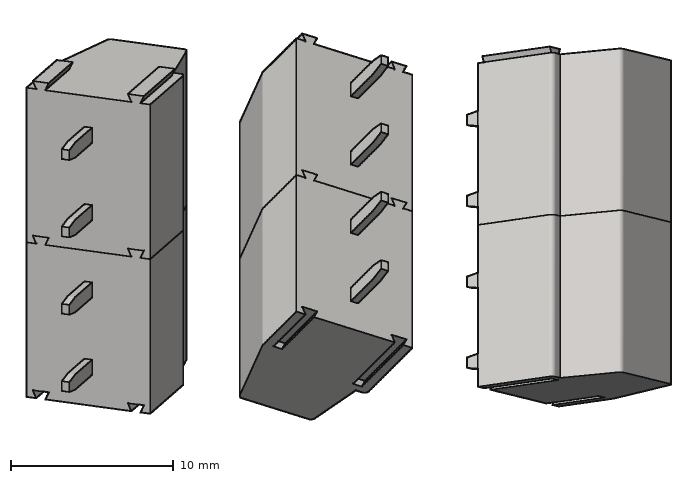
import cadquery as cq
import math


MODULE_COUNT = 2
PINS_PER_MODULE = 2
PIN_PITCH = 5.08
MODULE_HEIGHT = PINS_PER_MODULE * PIN_PITCH

HOUSING_WIDTH = 8.2
HOUSING_DEPTH = 10.0
SIDE_DEPTH = 4.27
STEP_DEPTH = 5.8
STEP_WIDTH = 0.75
SIDE_SLOPE = 15
STEP_SLOPE = 10
CORNER_RADIUS = 0.3

RAIL_HEIGHT = 0.5
RAIL_TOP_WIDTH = 1.06
RAIL_ROOT_WIDTH = 0.6
RAIL_INSET = 0.42
SIDE_RAIL_LENGTH = 4.04
STEP_RAIL_LENGTH = 5.25
RAIL_X = HOUSING_WIDTH / 2 - RAIL_INSET - RAIL_TOP_WIDTH / 2

PIN_LENGTH = 3.8
PIN_THICKNESS = 0.5
PIN_WIDTH = 1.0
TIP_WIDTH = 0.65
TAPER_LENGTH = 1.0


def make_block():
    """Plain housing block: the stepped, sloping profile extruded along Z."""
    half_width = HOUSING_WIDTH / 2
    back_left = -half_width + (HOUSING_DEPTH - SIDE_DEPTH) * math.tan(math.radians(SIDE_SLOPE))
    step_inner = half_width - STEP_WIDTH
    back_right = step_inner - (HOUSING_DEPTH - STEP_DEPTH) * math.tan(math.radians(STEP_SLOPE))
    block = (
        cq.Workplane("XY")
        .moveTo(-half_width, 0)
        .lineTo(half_width, 0)
        .lineTo(half_width, STEP_DEPTH)
        .lineTo(step_inner, STEP_DEPTH)
        .lineTo(back_right, HOUSING_DEPTH)
        .lineTo(back_left, HOUSING_DEPTH)
        .lineTo(-half_width, SIDE_DEPTH)
        .close()
        .extrude(MODULE_HEIGHT)
    )
    rounded_corners = [
        (back_left, HOUSING_DEPTH),
        (back_right, HOUSING_DEPTH),
        (half_width, STEP_DEPTH),
    ]
    for x, y in rounded_corners:
        corner_edge = cq.selectors.NearestToPointSelector((x, y, MODULE_HEIGHT / 2))
        block = block.edges("|Z").edges(corner_edge).fillet(CORNER_RADIUS)
    return block


def make_rail(x, length, base_z):
    """Dovetail bar running along +Y from the pin-side face, narrow at base_z."""
    half_root = RAIL_ROOT_WIDTH / 2
    half_top = RAIL_TOP_WIDTH / 2
    return (
        cq.Workplane("XZ", origin=(x, 0, base_z))
        .polyline([
            (-half_root, 0),
            (half_root, 0),
            (half_top, RAIL_HEIGHT),
            (-half_top, RAIL_HEIGHT),
        ])
        .close()
        .extrude(-length)
    )


def make_pin(z):
    """Flat pin standing out of the pin-side face, tapered in Z at its tip."""
    half_width = PIN_WIDTH / 2
    half_tip = TIP_WIDTH / 2
    taper_start = -PIN_LENGTH + TAPER_LENGTH
    return (
        cq.Workplane("YZ", origin=(0, 0, z))
        .polyline([
            (0, -half_width),
            (0, half_width),
            (taper_start, half_width),
            (-PIN_LENGTH, half_tip),
            (-PIN_LENGTH, -half_tip),
            (taper_start, -half_width),
        ])
        .close()
        .extrude(PIN_THICKNESS / 2, both=True)
    )


def make_module(base_z):
    """One module: housing with rails on top, matching grooves below, and its pins."""
    module = make_block()
    for x, length in [(-RAIL_X, SIDE_RAIL_LENGTH), (RAIL_X, STEP_RAIL_LENGTH)]:
        module = module.cut(make_rail(x, length, 0))
        module = module.union(make_rail(x, length, MODULE_HEIGHT))
    for index in range(PINS_PER_MODULE):
        module = module.union(make_pin((index + 0.5) * PIN_PITCH))
    return module.translate((0, 0, base_z))


modules = [make_module(index * MODULE_HEIGHT) for index in range(MODULE_COUNT)]

result = cq.Compound.makeCompound([module.solids().val() for module in modules])